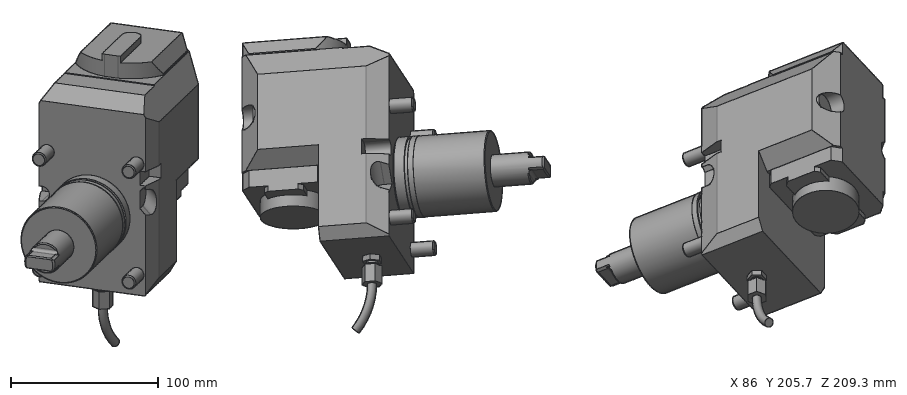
import cadquery as cq
import math


width = 86.0
half_width = width / 2
rear_y = 104.2
joint_y = 33.5
foot_rear_y = 48.0
roof_z = 85.5
plate_roof_z = 84.8
floor_z = -55.3
eave_z = 66.8
roof_slope = math.radians(60)
foot_bevel_height = 8.8
rear_bevel = 14.2
overhang_z = 1.9
overhang_bevel = 10.7
front_bevel_depth = 14.7
front_bevel_side = 4.5
front_bevel_top = 8.2

output_y = 75.0
cap_top_z = 96.7
cap_wall_height = 1.0
cap_front_y = 36.5
cap_flat_width = 9.8
cap_radius = math.hypot(output_y - cap_front_y, cap_flat_width / 2)
cap_rear_bevel = 5.5
key_width = 13.5
key_top_z = 101.5
key_end_y = 81.5

flange_half_width = 32.2
flange_bottom_z = -10.3
flange_front_y = 48.4
flange_rear_bevel = 5.7
flange_front_bevel = 2.7
tab_width = 27.2
tab_bevel = 3.1
tab_bottom_z = -14.2
collet_diameter = 45.0
collet_bottom_z = -22.5

neck_diameter = 52.7
pilot_diameter = 55.5
shank_diameter = 55.0
neck_length = 0.8
groove_start = 8.2
groove_end = 10.5
pilot_end = 14.5
shank_end = 64.3
shank_bevel = 0.6
shaft_diameter = 22.0
shaft_end = 90.6
shaft_bevel = 0.8
tang_end = 101.5
tang_thickness = 9.5
tang_end_bevel = 1.3
tang_side_bevel_width = 1.7
tang_side_bevel_height = 0.8
tang_fillet = 2.3

screw_x = 32.5
screw_z = 40.2
screw_diameter = 10.0
screw_length = 16.3
screw_bevel = 0.8
head_diameter = 16.0
head_height = screw_diameter
head_top_y = 94.0
head_bore_diameter = 16.5

slot_depth = 18.0
slot_width = 10.7
slot_z = 9.0
slot_end_x = -31.0
notch_x = 34.5
notch_bottom_z = 25.0
notch_top_z = 35.2
channel_width = 13.0
channel_axis_y = 5.5
channel_end_x = 32.9
channel_end_z = 18.8
channel_length = 25.1

gland_y = 20.3
upper_hex_flats = 11.5
upper_hex_height = 4.0
gland_groove_diameter = 8.2
gland_groove_height = 1.7
gland_collar_diameter = 9.8
gland_collar_height = 1.5
lower_hex_flats = 12.1
lower_hex_height = 12.5
cable_diameter = 6.3
cable_bend_radius = 42.0
cable_bend_angle = math.radians(46.6)
cable_heading = math.radians(70)


def roof_half_width(z):
    return half_width - (z - eave_z) / math.tan(roof_slope)


def box(x_range, y_range, z_range):
    spans = [high - low for low, high in (x_range, y_range, z_range)]
    corner = (x_range[0], y_range[0], z_range[0])
    return cq.Workplane("XY").box(*spans, centered=False).translate(corner)


def extrude_along_y(half_outline, start_y, end_y):
    """Mirror a right-hand XZ outline about X = 0 and extrude it between two Y positions."""
    mirrored = [(-x, z) for x, z in reversed(half_outline)]
    profile = cq.Workplane("XZ", origin=(0, start_y, 0)).polyline(half_outline + mirrored).close()
    return profile.extrude(start_y - end_y)


def extrude_along_z(half_outline, bottom_z, top_z):
    """Mirror a right-hand XY outline about X = 0 and extrude it between two heights."""
    mirrored = [(-x, y) for x, y in reversed(half_outline)]
    profile = cq.Workplane("XY").workplane(offset=bottom_z).polyline(half_outline + mirrored).close()
    return profile.extrude(top_z - bottom_z)


def cylinder_y(diameter, start_y, end_y, x=0, z=0):
    circle = cq.Workplane("XZ", origin=(x, start_y, z)).circle(diameter / 2)
    return circle.extrude(start_y - end_y)


def tall_section(top_z, start_y, end_y):
    foot_half_width = half_width - foot_bevel_height / math.tan(roof_slope)
    outline = [
        (foot_half_width, floor_z),
        (half_width, floor_z + foot_bevel_height),
        (half_width, eave_z),
        (roof_half_width(top_z), top_z),
    ]
    return extrude_along_y(outline, start_y, end_y)


def front_plate():
    plate = tall_section(plate_roof_z, 0, joint_y)
    plan = [
        (half_width - front_bevel_side, 0),
        (half_width, front_bevel_depth),
        (half_width, joint_y),
    ]
    plate = plate.intersect(extrude_along_z(plan, floor_z, plate_roof_z))
    side = [
        (0, floor_z),
        (0, plate_roof_z - front_bevel_top),
        (front_bevel_depth, plate_roof_z),
        (joint_y, plate_roof_z),
        (joint_y, floor_z),
    ]
    side_block = cq.Workplane("YZ").polyline(side).close().extrude(half_width, both=True)
    return plate.intersect(side_block)


def rear_housing():
    foot = tall_section(roof_z, joint_y, foot_rear_y)
    outline = [
        (half_width - overhang_bevel, overhang_z),
        (half_width, overhang_z + overhang_bevel),
        (half_width, eave_z),
        (roof_half_width(roof_z), roof_z),
    ]
    overhang = extrude_along_y(outline, joint_y, rear_y)
    plan = [
        (half_width, joint_y),
        (half_width, rear_y - rear_bevel),
        (half_width - rear_bevel, rear_y),
    ]
    return foot.union(overhang.intersect(extrude_along_z(plan, overhang_z, roof_z)))


def cap_with_key():
    wall_top_z = roof_z + cap_wall_height
    cap_half_width = roof_half_width(wall_top_z)
    disc = cq.Workplane("XY", origin=(0, output_y, roof_z)).circle(cap_radius).extrude(key_top_z - roof_z)
    front_half = box((-cap_radius, cap_radius), (0, output_y), (roof_z, key_top_z))
    rear_plan = [
        (cap_half_width, output_y),
        (cap_half_width, rear_y - cap_rear_bevel),
        (cap_half_width - cap_rear_bevel, rear_y),
    ]
    plan = disc.intersect(front_half).union(extrude_along_z(rear_plan, roof_z, key_top_z))

    section = [
        (cap_half_width, roof_z),
        (cap_half_width, wall_top_z),
        (roof_half_width(cap_top_z), cap_top_z),
    ]
    cap = plan.intersect(extrude_along_y(section, 0, rear_y))

    key_radius = key_width / 2
    key = box((-key_radius, key_radius), (0, key_end_y - key_radius), (roof_z, key_top_z))
    key_end = cq.Workplane("XY", origin=(0, key_end_y - key_radius, roof_z)).circle(key_radius)
    key = key.union(key_end.extrude(key_top_z - roof_z)).intersect(plan)
    flat_cut = box((-cap_radius, cap_radius), (0, cap_front_y), (roof_z, key_top_z))
    return cap.union(key).cut(flat_cut)


def output_side():
    outline = [
        (flange_half_width - flange_front_bevel, flange_front_y),
        (flange_half_width, flange_front_y + flange_front_bevel),
        (flange_half_width, rear_y - flange_rear_bevel),
        (flange_half_width - flange_rear_bevel, rear_y),
    ]
    flange = extrude_along_z(outline, flange_bottom_z, overhang_z)
    tab_height = flange_bottom_z - tab_bottom_z
    tab = cq.Workplane("XY", origin=(0, output_y, tab_bottom_z))
    tab = tab.rect(2 * flange_half_width, tab_width).extrude(tab_height).edges("|Z").chamfer(tab_bevel)
    collet = cq.Workplane("XY", origin=(0, output_y, collet_bottom_z)).circle(collet_diameter / 2)
    return flange.union(tab).union(collet.extrude(flange_bottom_z - collet_bottom_z))


def shank():
    neck = cylinder_y(neck_diameter, 0, -groove_end)
    collar = cylinder_y(pilot_diameter, -neck_length, -groove_start)
    pilot = cylinder_y(pilot_diameter, -groove_end, -pilot_end)
    body = cylinder_y(shank_diameter, -pilot_end, -shank_end).faces("<Y").chamfer(shank_bevel)
    return neck.union(collar).union(pilot).union(body)


def tang_side_profile():
    """YZ profile of the tang, widened by fillets where it meets the shaft shoulder."""
    half_tang = tang_thickness / 2
    fillet_middle = tang_fillet * (1 - math.sqrt(0.5))
    root_y = -shaft_end + shaft_bevel
    root_z = half_tang + tang_fillet
    middle = (-shaft_end - fillet_middle, half_tang + fillet_middle)
    upper_half = (
        cq.Workplane("YZ")
        .moveTo(root_y, 0)
        .lineTo(root_y, root_z)
        .lineTo(-shaft_end, root_z)
        .threePointArc(middle, (-shaft_end - tang_fillet, half_tang))
        .lineTo(-tang_end + tang_end_bevel, half_tang)
        .lineTo(-tang_end, half_tang - tang_end_bevel / 2)
        .lineTo(-tang_end, 0)
        .close()
        .extrude(shaft_diameter / 2, both=True)
    )
    return upper_half.union(upper_half.mirror("XY"))


def tang_corner_cut():
    """Wedge along Y that bevels the upper +X edge of the tang."""
    corner_z = tang_thickness / 2
    corner_x = math.sqrt((shaft_diameter / 2) ** 2 - corner_z**2)
    triangle = [
        (corner_x - tang_side_bevel_width, corner_z),
        (corner_x + tang_side_bevel_width, corner_z - 2 * tang_side_bevel_height),
        (corner_x + tang_side_bevel_width, corner_z),
    ]
    wedge = cq.Workplane("XZ", origin=(0, -shaft_end, 0)).polyline(triangle).close()
    return wedge.extrude(tang_end - shaft_end)


def drive_shaft():
    shaft = cylinder_y(shaft_diameter, -shank_end, -shaft_end).faces("<Y").chamfer(shaft_bevel)
    tang = cylinder_y(shaft_diameter, -shaft_end + shaft_bevel, -tang_end)
    tang = tang.faces("<Y").chamfer(tang_end_bevel).intersect(tang_side_profile())
    wedge = tang_corner_cut()
    wedge_pair = wedge.union(wedge.mirror("YZ"))
    return shaft.union(tang.cut(wedge_pair).cut(wedge_pair.mirror("XY")))


def side_slot():
    axis_x = slot_end_x - slot_width / 2
    round_end = cylinder_y(slot_width, 0, slot_depth, axis_x, slot_z)
    z_range = (slot_z - slot_width / 2, slot_z + slot_width / 2)
    return round_end.union(box((-half_width, axis_x), (0, slot_depth), z_range))


def side_notch():
    return box((notch_x, half_width), (0, slot_depth), (notch_bottom_z, notch_top_z))


def diagonal_channel():
    """Round-bottomed channel in the +X edge, open to the front and falling outward at 45 degrees."""
    start = cq.Plane(origin=(channel_end_x, channel_axis_y, channel_end_z), xDir=(0, 1, 0), normal=(1, 0, -1))
    bore = cq.Workplane(start).circle(channel_width / 2).extrude(channel_length)
    mouth = cq.Workplane(start).center(-channel_axis_y / 2, 0).rect(channel_axis_y, channel_width)
    return bore.union(mouth.extrude(channel_length))


def cable_gland():
    gland_top = cq.Workplane("XY", origin=(0, gland_y, floor_z))
    across_corners = 2 / math.sqrt(3)
    upper = gland_top.polygon(6, upper_hex_flats * across_corners).extrude(-upper_hex_height)
    neck = upper.faces("<Z").workplane().circle(gland_groove_diameter / 2).extrude(gland_groove_height)
    neck = neck.faces("<Z").workplane().circle(gland_collar_diameter / 2).extrude(gland_collar_height)
    lower_z = floor_z - upper_hex_height - gland_groove_height - gland_collar_height
    lower = cq.Workplane("XY").polygon(6, lower_hex_flats * across_corners).extrude(-lower_hex_height)
    lower = lower.rotate((0, 0, 0), (0, 0, 1), 90).translate((0, gland_y, lower_z))

    cable_z = lower_z - lower_hex_height

    def bend_point(angle):
        return (cable_bend_radius * (1 - math.cos(angle)), -cable_bend_radius * math.sin(angle))

    bend_plane = cq.Plane(
        origin=(0, gland_y, cable_z),
        xDir=(math.cos(cable_heading), math.sin(cable_heading), 0),
        normal=(math.sin(cable_heading), -math.cos(cable_heading), 0),
    )
    path = cq.Workplane(bend_plane).threePointArc(
        bend_point(cable_bend_angle / 2), bend_point(cable_bend_angle)
    )
    cable = cq.Workplane("XY", origin=(0, gland_y, cable_z)).circle(cable_diameter / 2).sweep(path)
    return neck.union(lower).union(cable)


housing = front_plate().union(rear_housing())

channel = diagonal_channel()
opposite_channel = channel.rotate((0, 0, 0), (0, 1, 0), 180)
clipped_channel = channel.intersect(box((notch_x, 2 * half_width), (0, joint_y), (floor_z, roof_z)))
housing = housing.cut(side_slot()).cut(side_notch()).cut(clipped_channel).cut(opposite_channel)

for side in (-1, 1):
    seat_y = head_top_y - head_height
    housing = housing.cut(cylinder_y(head_bore_diameter, seat_y, rear_y, side * screw_x, screw_z))
    housing = housing.union(cylinder_y(head_diameter, seat_y, head_top_y, side * screw_x, screw_z))
    for level in (-1, 1):
        screw = cylinder_y(screw_diameter, 0, -screw_length, side * screw_x, level * screw_z)
        housing = housing.union(screw.faces("<Y").chamfer(screw_bevel))

result = housing.union(cap_with_key()).union(output_side()).union(cable_gland())
result = result.union(shank()).union(drive_shaft())